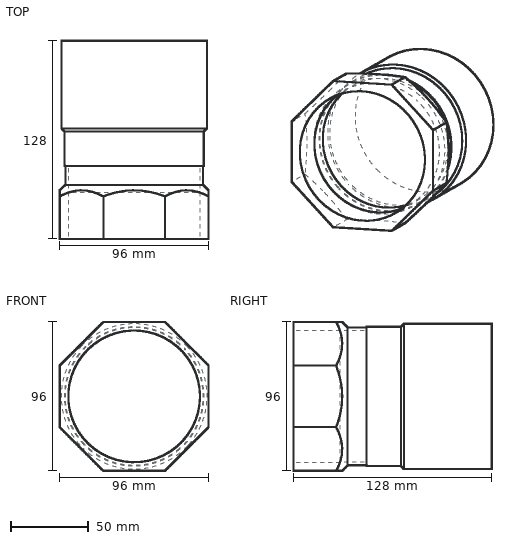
import cadquery as cq
import math

length = 128.0
across_flats = 96.0
side_count = 8
across_corners = across_flats / math.cos(math.pi / side_count)

nut_length = 35.1
neck_length = 12.2
body_length = 22.1
collar_chamfer_length = 1.9

neck_diameter = 89.0
body_diameter = 90.0
collar_diameter = 94.0
mouth_diameter = 85.0
bore_diameter = 84.9

mouth_depth = 30.0
bore_depth = nut_length + neck_length

front = -length / 2
back = length / 2
nut_end = front + nut_length
neck_end = nut_end + neck_length
body_end = neck_end + body_length
collar_start = body_end + collar_chamfer_length


def cylinder(diameter, start, end):
    """Cylinder on the Y axis between two Y positions."""
    return cq.Workplane("XZ", origin=(0, start, 0)).circle(diameter / 2).extrude(start - end)


def octagonal_nut():
    """Octagon with flats facing X and Z, its rear corners turned to a 45 degree cone."""
    prism = (
        cq.Workplane("XZ", origin=(0, front, 0))
        .transformed(rotate=(0, 0, 180 / side_count))
        .polygon(side_count, across_corners)
        .extrude(-nut_length)
    )
    corner_radius = across_corners / 2
    neck_radius = neck_diameter / 2
    cone_start = nut_end - (corner_radius - neck_radius)
    envelope = (
        cq.Workplane("XY")
        .moveTo(0, front)
        .lineTo(corner_radius, front)
        .lineTo(corner_radius, cone_start)
        .lineTo(neck_radius, nut_end)
        .lineTo(0, nut_end)
        .close()
        .revolve(360, (0, 0, 0), (0, 1, 0))
    )
    return prism.intersect(envelope)


def stepped_barrel():
    """Neck, body and collar turned about Y, with a conical step up to the collar."""
    return (
        cq.Workplane("XY")
        .moveTo(0, nut_end)
        .lineTo(neck_diameter / 2, nut_end)
        .lineTo(neck_diameter / 2, neck_end)
        .lineTo(body_diameter / 2, neck_end)
        .lineTo(body_diameter / 2, body_end)
        .lineTo(collar_diameter / 2, collar_start)
        .lineTo(collar_diameter / 2, back)
        .lineTo(0, back)
        .close()
        .revolve(360, (0, 0, 0), (0, 1, 0))
    )


def blind_bore():
    """Blind bore with a very slightly wider mouth at the octagonal end."""
    mouth = cylinder(mouth_diameter, front, front + mouth_depth)
    bore = cylinder(bore_diameter, front, front + bore_depth)
    return mouth.union(bore)


result = octagonal_nut().union(stepped_barrel()).cut(blind_bore())